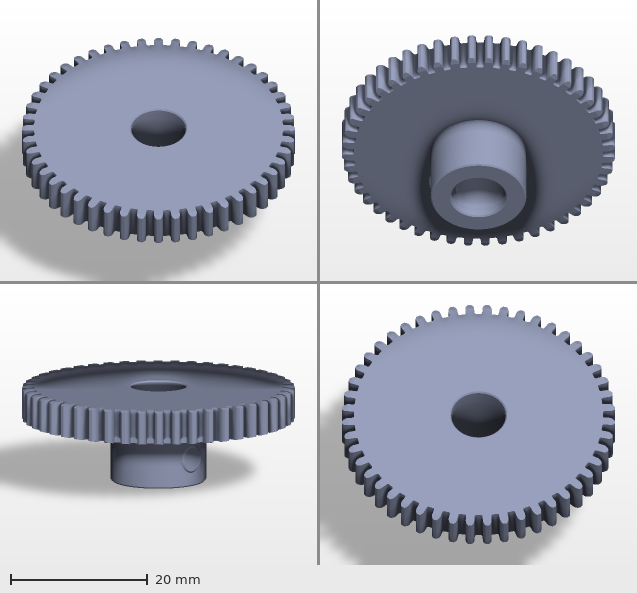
import cadquery as cq
import math

tooth_count = 48
module = 0.8
root_depth = 1.0
gear_width = 5.0
pitch_radius = tooth_count * module / 2
tip_radius = pitch_radius + module
root_radius = pitch_radius - root_depth
tip_chamfer_height = 0.2

flank_half_width = 0.65
shoulder_half_width = 0.4
shoulder_radius = 19.85
tip_half_width = 0.2
root_fillet = 0.25
flank_curve_radius = 0.95
tip_curve_radius = 0.3

hub_radius = 14.0 / 2
hub_length = 9.0
bore_radius = 8.0 / 2
edge_chamfer = 0.2

screw_radius = 4.0 / 2
screw_tip_radius = 3.25 / 2
screw_head_chamfer = 0.25
screw_length = hub_radius - bore_radius
screw_height = 4.0

total_height = hub_length + gear_width


def turned(x, y, angle):
    """The point (x, y) turned counterclockwise about the gear axis."""
    return (
        x * math.cos(angle) - y * math.sin(angle),
        x * math.sin(angle) + y * math.cos(angle),
    )


def gear_outline():
    """Closed toothed outline, drawn clockwise, with one tooth centred on +Y."""
    fillet_end = flank_half_width + root_fillet
    fillet_top = root_radius + root_fillet
    outline = cq.Workplane("XY").moveTo(-fillet_end, root_radius)
    for index in range(tooth_count):
        angle = -2 * math.pi * index / tooth_count
        if index > 0:
            outline = outline.lineTo(*turned(-fillet_end, root_radius, angle))
        outline = (
            outline
            .radiusArc(turned(-flank_half_width, fillet_top, angle), -root_fillet)
            .lineTo(*turned(-flank_half_width, pitch_radius, angle))
            .radiusArc(turned(-shoulder_half_width, shoulder_radius, angle), flank_curve_radius)
            .radiusArc(turned(-tip_half_width, tip_radius, angle), tip_curve_radius)
            .lineTo(*turned(tip_half_width, tip_radius, angle))
            .radiusArc(turned(shoulder_half_width, shoulder_radius, angle), tip_curve_radius)
            .radiusArc(turned(flank_half_width, pitch_radius, angle), flank_curve_radius)
            .lineTo(*turned(flank_half_width, fillet_top, angle))
            .radiusArc(turned(fillet_end, root_radius, angle), -root_fillet)
        )
    return outline.close()


def toothed_disc():
    """Toothed disc whose tooth tips are bevelled on both faces."""
    teeth = gear_outline().extrude(gear_width)
    bevelled_blank = (
        cq.Workplane("XZ")
        .moveTo(0, 0)
        .lineTo(pitch_radius, 0)
        .lineTo(tip_radius, tip_chamfer_height)
        .lineTo(tip_radius, gear_width - tip_chamfer_height)
        .lineTo(pitch_radius, gear_width)
        .lineTo(0, gear_width)
        .close()
        .revolve(360, (0, 0, 0), (0, 1, 0))
    )
    return teeth.intersect(bevelled_blank).translate((0, 0, hub_length))


def bore_cutter():
    """Through bore with a chamfer at each mouth."""
    mouth_radius = bore_radius + edge_chamfer
    return (
        cq.Workplane("XZ")
        .moveTo(0, 0)
        .lineTo(mouth_radius, 0)
        .lineTo(bore_radius, edge_chamfer)
        .lineTo(bore_radius, total_height - edge_chamfer)
        .lineTo(mouth_radius, total_height)
        .lineTo(0, total_height)
        .close()
        .revolve(360, (0, 0, 0), (0, 1, 0))
    )


def screw_seat():
    """Cylinder spanning the hub wall, chamfered at the end that faces the bore."""
    return (
        cq.Workplane("XZ", origin=(0, bore_radius, screw_height))
        .circle(screw_radius)
        .extrude(-screw_length)
        .faces("<Y")
        .chamfer(screw_radius - screw_tip_radius)
    )


def make_gear():
    """Spur gear with its hub, bore and screw hole, the hole narrowing where it meets the bore."""
    hub = (
        cq.Workplane("XY")
        .circle(hub_radius)
        .extrude(hub_length)
        .faces("<Z")
        .chamfer(edge_chamfer)
    )
    tip_hole = (
        cq.Workplane("XZ", origin=(0, 0, screw_height))
        .circle(screw_tip_radius)
        .extrude(-hub_radius)
    )
    drilled_hub = hub.cut(screw_seat()).cut(tip_hole)
    return toothed_disc().union(drilled_hub).cut(bore_cutter())


def make_set_screw():
    """Set screw filling its seat, with the edge of its outer end chamfered."""
    return screw_seat().faces(">Y").chamfer(screw_head_chamfer)


gear = make_gear()
set_screw = make_set_screw()
result = cq.Compound.makeCompound([gear.solids().val(), set_screw.solids().val()])